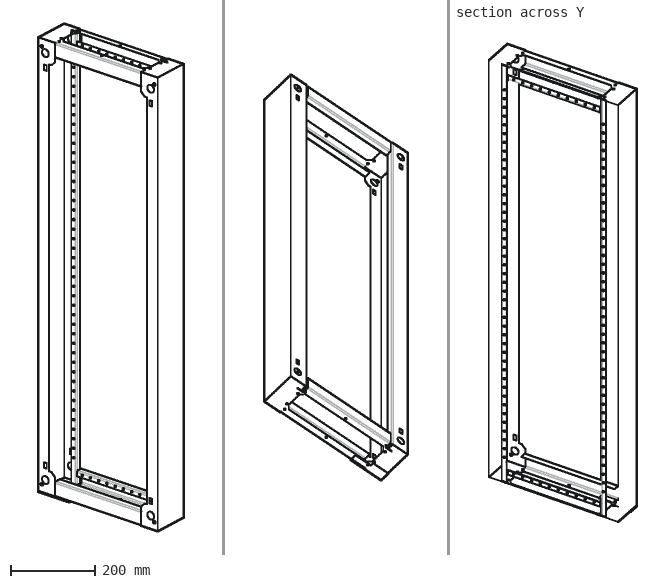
import cadquery as cq

width = 364.0
depth = 100.0
total_height = 1194.0
label_thickness = 2.0
frame_height = total_height - label_thickness
frame_center_z = label_thickness / 2
sheet = 1.5
bend_radius = 4.2

half_width = width / 2
half_depth = depth / 2
half_height = frame_height / 2

front_flange_width = 33.0
fold_width = 51.0
lip_depth = 19.0
return_width = 15.0

gusset_height = 62.0
gusset_chamfer = 11.0

corner_hole_x = 160.0
cable_hole_diameter = 20.0
cable_hole_z = 560.0
pilot_hole_diameter = 7.0
pilot_hole_x = 171.0
pilot_hole_z = 574.0
slot_width = 8.0
slot_length = 14.0
slot_z = 522.0

perforation_diameter = 5.0
upright_perforation_span = 1050.0
upright_perforation_count = 43
plate_perforation_span = 226.0
plate_perforation_count = 10

plate_fold_height = 40.0
relief_width = 2.0
opening_length = 260.0
opening_depth = 60.0
opening_chamfer = 10.0
screw_diameter = 5.0
front_screw_x = 129.0
back_screw_x = 125.0
screw_row_y = 36.0
side_screw_x = 135.0
side_screw_y = 20.0

label_length = 95.0
label_depth = 27.0
label_deep_length = 48.0
label_shallow_depth = 19.0


def box_between(low, high):
    """Box spanning two opposite corner points."""
    size = [b - a for a, b in zip(low, high)]
    return cq.Workplane("XY").box(*size, centered=False).translate(tuple(low))


def round_bend(solid, outer_point, inner_point):
    """Round the two long edges of a sheet bend, found by their midpoints."""
    outer_edge = cq.selectors.NearestToPointSelector(outer_point)
    inner_edge = cq.selectors.NearestToPointSelector(inner_point)
    solid = solid.edges(outer_edge).fillet(bend_radius)
    return solid.edges(inner_edge).fillet(bend_radius - sheet)


def perforation_positions(span, count):
    pitch = span / (count - 1)
    return [i * pitch - span / 2 for i in range(count)]


def front_flange_with_gussets():
    """Front sheet of the left upright, wider at both ends."""
    outer_x = -half_width
    narrow_x = outer_x + front_flange_width
    wide_x = outer_x + fold_width
    gusset_z = half_height - gusset_height
    outline = [
        (outer_x, -half_height),
        (wide_x, -half_height),
        (wide_x, -gusset_z - gusset_chamfer),
        (wide_x - gusset_chamfer, -gusset_z),
        (narrow_x, -gusset_z),
        (narrow_x, gusset_z),
        (wide_x - gusset_chamfer, gusset_z),
        (wide_x, gusset_z + gusset_chamfer),
        (wide_x, half_height),
        (outer_x, half_height),
    ]
    sheet_solid = cq.Workplane("XZ").polyline(outline).close().extrude(sheet)
    return sheet_solid.translate((0, -half_depth + sheet, 0))


def upright_profile():
    """Web, back flange, lip and return of the left upright, full height."""
    outer_x = -half_width
    inner_x = outer_x + fold_width
    lip_y = half_depth - lip_depth
    profile = [
        (outer_x, -half_depth),
        (outer_x, half_depth),
        (inner_x, half_depth),
        (inner_x, lip_y),
        (inner_x - return_width, lip_y),
        (inner_x - return_width, lip_y + sheet),
        (inner_x - sheet, lip_y + sheet),
        (inner_x - sheet, half_depth - sheet),
        (outer_x + sheet, half_depth - sheet),
        (outer_x + sheet, -half_depth),
    ]
    solid = cq.Workplane("XY").polyline(profile).close().extrude(frame_height)
    solid = solid.translate((0, 0, -half_height))
    solid = round_bend(solid, (inner_x, half_depth, 0), (inner_x - sheet, half_depth - sheet, 0))
    return round_bend(solid, (inner_x, lip_y, 0), (inner_x - sheet, lip_y + sheet, 0))


def upright_end_openings():
    """Cable holes and slots through front and back, pilot holes through the front only."""
    through = cq.Workplane("XZ", origin=(0, half_depth, 0))
    cable_points = [(-corner_hole_x, side * cable_hole_z) for side in (-1, 1)]
    slot_points = [(-corner_hole_x, side * slot_z) for side in (-1, 1)]
    pilot_points = [(-pilot_hole_x, side * pilot_hole_z) for side in (-1, 1)]
    cable_holes = through.pushPoints(cable_points).circle(cable_hole_diameter / 2).extrude(depth)
    slots = through.pushPoints(slot_points).rect(slot_width, slot_length).extrude(depth)
    pilot_holes = (
        cq.Workplane("XZ").pushPoints(pilot_points).circle(pilot_hole_diameter / 2).extrude(half_depth)
    )
    return cable_holes.union(slots).union(pilot_holes)


def perforations(points):
    """Cutters through the returns only, at (x, z) points."""
    return (
        cq.Workplane("XZ", origin=(0, half_depth - lip_depth + 2 * sheet, 0))
        .pushPoints(points)
        .circle(perforation_diameter / 2)
        .extrude(3 * sheet)
    )


def left_upright():
    return_center_x = -half_width + fold_width - return_width / 2
    rows = perforation_positions(upright_perforation_span, upright_perforation_count)
    holes = perforations([(return_center_x, z) for z in rows])
    blank = upright_profile().union(front_flange_with_gussets())
    return blank.cut(upright_end_openings()).cut(holes)


def plate_fold():
    """Top plate section between the uprights: front lip, beam, plate, back flange, lip and return."""
    fold_length = width - 2 * fold_width
    back_lip_y = half_depth - lip_depth
    front_lip_y = -half_depth + lip_depth
    fold_z = half_height - plate_fold_height
    profile = [
        (front_lip_y, fold_z),
        (-half_depth, fold_z),
        (-half_depth, half_height),
        (half_depth, half_height),
        (half_depth, fold_z),
        (back_lip_y, fold_z),
        (back_lip_y, fold_z + return_width),
        (back_lip_y + sheet, fold_z + return_width),
        (back_lip_y + sheet, fold_z + sheet),
        (half_depth - sheet, fold_z + sheet),
        (half_depth - sheet, half_height - sheet),
        (-half_depth + sheet, half_height - sheet),
        (-half_depth + sheet, fold_z + sheet),
        (front_lip_y, fold_z + sheet),
    ]
    fold = cq.Workplane("YZ").polyline(profile).close().extrude(fold_length / 2, both=True)
    bends = [
        (-half_depth, fold_z, 1, 1),
        (-half_depth, half_height, 1, -1),
        (half_depth, half_height, -1, -1),
        (half_depth, fold_z, -1, 1),
        (back_lip_y, fold_z, 1, 1),
    ]
    for y, z, inward_y, inward_z in bends:
        fold = round_bend(fold, (0, y, z), (0, y + inward_y * sheet, z + inward_z * sheet))
    return fold


def back_reliefs():
    """Gaps around the rounded lips of the uprights, freeing the back fold of the top plate."""
    outer_x = half_width - fold_width
    low = (outer_x - relief_width, half_depth - lip_depth, half_height - plate_fold_height)
    relief = box_between(low, (outer_x + bend_radius, half_depth, half_height))
    return relief.union(relief.mirror("YZ"))


def plate_openings():
    """Chamfered window and the screw holes around it."""
    below_plate = cq.Workplane("XY", origin=(0, 0, half_height - 2 * sheet))
    window = (
        below_plate.rect(opening_length, opening_depth)
        .extrude(3 * sheet)
        .edges("|Z")
        .chamfer(opening_chamfer)
    )
    points = [(x, -screw_row_y) for x in (-front_screw_x, 0, front_screw_x)]
    points += [(x, screw_row_y) for x in (-back_screw_x, 0, back_screw_x)]
    points += [(x, y) for x in (-side_screw_x, side_screw_x) for y in (-side_screw_y, side_screw_y)]
    screws = below_plate.pushPoints(points).circle(screw_diameter / 2).extrude(3 * sheet)
    return window.union(screws)


def top_plate():
    inner_x = half_width - sheet
    fold_x = half_width - fold_width
    inner_y = half_depth - sheet
    low_z = half_height - sheet
    plate = plate_fold()
    plate = plate.union(box_between((-inner_x, -inner_y, low_z), (-fold_x, inner_y, half_height)))
    plate = plate.union(box_between((fold_x, -inner_y, low_z), (inner_x, inner_y, half_height)))
    plate = plate.cut(upright_profile()).cut(upright_profile().mirror("YZ"))
    return_center_z = half_height - plate_fold_height + return_width / 2
    columns = perforation_positions(plate_perforation_span, plate_perforation_count)
    holes = perforations([(x, return_center_z) for x in columns])
    return plate.cut(back_reliefs()).cut(plate_openings()).cut(holes)


def label():
    """L-shaped raised label that runs along the front edge and stays clear of the window."""
    x, y, z = -half_width, -half_depth, -half_height - label_thickness
    front_strip = box_between((x, y, z), (x + label_length, y + label_shallow_depth, -half_height))
    corner_pad = box_between((x, y, z), (x + label_deep_length, y + label_depth, -half_height))
    return front_strip.union(corner_pad)


def bottom_plate():
    """Mirrored top plate with the raised label on its underside."""
    return top_plate().mirror("XY").union(label())


frame_shift = (0, 0, frame_center_z)
uprights = [left_upright(), left_upright().mirror("YZ")]
bodies = [*uprights, top_plate(), bottom_plate()]
result = cq.Compound.makeCompound([body.translate(frame_shift).solids().val() for body in bodies])